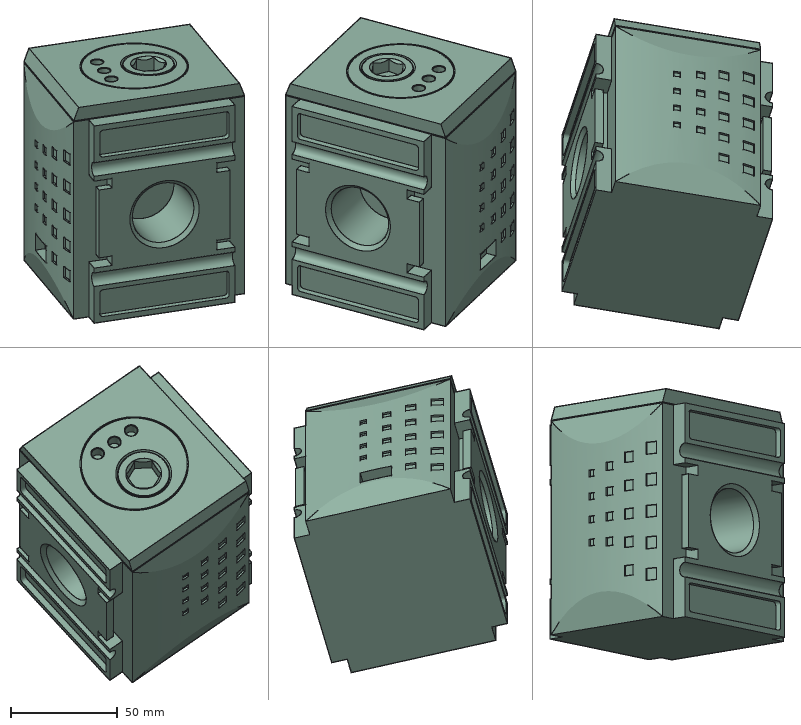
import cadquery as cq
import math

TOTAL_HEIGHT = 109.0
TOTAL_WIDTH = 85.0
BODY_WIDTH = 70.0
BODY_DEPTH = 85.0
BODY_HEIGHT = 101.9
MID_HEIGHT = BODY_HEIGHT / 2

BOW_RISE = 4.1
BOW_RADIUS = ((BODY_WIDTH / 2) ** 2 + BOW_RISE**2) / (2 * BOW_RISE)
BEVEL_ANGLE = 15.0

SEAM_HEIGHT = 0.4
SEAM_SETBACK = 0.2
CAP_TOP_DEPTH = 80.0

FLANGE_DEPTH = 70.0
FLANGE_THICKNESS = (TOTAL_WIDTH - BODY_WIDTH) / 2
TONGUE_THICKNESS = 4.0
TONGUE_DEPTH = 65.2
NECK_DEPTH = 52.1
NECK_HEIGHT = 44.9
TONGUE_HEIGHT = 35.1
GROOVE_RADIUS = 3.5
GROOVE_OFFSET = 28.5

PANEL_DEPTH = 64.3
PANEL_HEIGHT = 13.8
PANEL_OFFSET = 41.2
PANEL_CORNER = 1.7
PANEL_RECESS = 3.0

PORT_RADIUS = 15.3
PORT_MOUTH_RADIUS = 17.2
PORT_LENGTH = 30.0

RING_RADIUS = 25.4
RING_WIDTH = 0.5
RING_RECESS = 0.5
SCREW_Y = 7.1
SCREW_RADIUS = 12.0
SCREW_GROOVE_RADIUS = 13.1
SCREW_GROOVE_RECESS = 0.9
SCREW_GROOVE_FLOOR = 0.3
HEX_RADIUS = 8.2
HEX_MOUTH_RADIUS = 8.4
HEX_TURN = 23.0
HEX_RECESS = 7.0
GAUGE_HOLE_RADIUS = 2.8
GAUGE_HOLE_PITCH = 10.0
GAUGE_HOLE_Y = -14.9
GAUGE_HOLE_RECESS = 6.0
GAUGE_HOLE_CHAMFER = 0.3

DIMPLE_COLUMNS = [
    (-6.2, 3.2, 11.0, -1, 2),
    (5.2, 3.9, 12.0, -1, 2),
    (16.6, 4.9, 13.5, -2, 2),
    (29.0, 5.7, 15.0, -2, 2),
]
DIMPLE_RECESS = 1.0

WINDOW_WIDTH = 15.2
WINDOW_HEIGHT = 8.7
WINDOW_Z = 22.0
WINDOW_RECESS = 5.0
ARROW_LENGTH = 9.6
ARROW_HEAD_LENGTH = 5.0
ARROW_HEAD_HEIGHT = 5.7
ARROW_SHAFT_HEIGHT = 2.8
ARROW_RELIEF = 0.5


def block(width, depth, height, x=0.0, y=0.0, z=0.0):
    """Box centred on the given point."""
    return cq.Workplane("XY").box(width, depth, height).translate((x, y, z))


def on_both_sides(shape):
    """The shape together with its copy half a turn around Z."""
    return shape.union(shape.rotate((0, 0, 0), (0, 0, 1), 180))


def make_body():
    half_width = BODY_WIDTH / 2
    half_depth = BODY_DEPTH / 2
    crest = half_depth + BOW_RISE
    bevel_height = BOW_RISE / math.tan(math.radians(BEVEL_ANGLE))
    plan = (
        cq.Workplane("XY")
        .moveTo(-half_width, -half_depth)
        .threePointArc((0, -crest), (half_width, -half_depth))
        .lineTo(half_width, half_depth)
        .threePointArc((0, crest), (-half_width, half_depth))
        .close()
        .extrude(BODY_HEIGHT)
    )
    side_profile = (
        cq.Workplane("YZ")
        .polyline(
            [
                (-half_depth, 0),
                (half_depth, 0),
                (crest, bevel_height),
                (crest, BODY_HEIGHT - bevel_height),
                (half_depth, BODY_HEIGHT),
                (-half_depth, BODY_HEIGHT),
                (-crest, BODY_HEIGHT - bevel_height),
                (-crest, bevel_height),
            ]
        )
        .close()
        .extrude(half_width, both=True)
    )
    return plan.intersect(side_profile)


def make_cap():
    base_z = BODY_HEIGHT + SEAM_HEIGHT
    seam = block(
        BODY_WIDTH - 2 * SEAM_SETBACK,
        BODY_DEPTH - 2 * SEAM_SETBACK,
        SEAM_HEIGHT,
        z=BODY_HEIGHT + SEAM_HEIGHT / 2,
    )
    cap = (
        cq.Workplane("YZ")
        .polyline(
            [
                (-BODY_DEPTH / 2, base_z),
                (BODY_DEPTH / 2, base_z),
                (CAP_TOP_DEPTH / 2, TOTAL_HEIGHT),
                (-CAP_TOP_DEPTH / 2, TOTAL_HEIGHT),
            ]
        )
        .close()
        .extrude(BODY_WIDTH / 2, both=True)
    )
    return seam.union(cap)


def make_flange():
    """Flange on the -X side with its waist, grooves and pockets."""
    outer_x = -TOTAL_WIDTH / 2
    flange_x = outer_x + FLANGE_THICKNESS / 2
    tongue_x = outer_x + TONGUE_THICKNESS / 2
    plate = block(FLANGE_THICKNESS, FLANGE_DEPTH, BODY_HEIGHT, x=flange_x, z=MID_HEIGHT)
    waist = block(FLANGE_THICKNESS, FLANGE_DEPTH, NECK_HEIGHT, x=flange_x, z=MID_HEIGHT)
    neck = block(FLANGE_THICKNESS, NECK_DEPTH, NECK_HEIGHT, x=flange_x, z=MID_HEIGHT)
    tongue = block(TONGUE_THICKNESS, TONGUE_DEPTH, TONGUE_HEIGHT, x=tongue_x, z=MID_HEIGHT)
    flange = plate.cut(waist).union(neck).union(tongue)
    for side in (-1, 1):
        groove = (
            cq.Workplane("XZ")
            .center(outer_x, MID_HEIGHT + side * GROOVE_OFFSET)
            .circle(GROOVE_RADIUS)
            .extrude(FLANGE_DEPTH / 2, both=True)
        )
        panel = block(
            2 * PANEL_RECESS, PANEL_DEPTH, PANEL_HEIGHT, x=outer_x, z=MID_HEIGHT + side * PANEL_OFFSET
        )
        flange = flange.cut(groove).cut(panel.edges("|X").fillet(PANEL_CORNER))
    return flange


def make_port():
    """Blind port entering from the -X side, with a 45 degree mouth."""
    mouth_length = PORT_MOUTH_RADIUS - PORT_RADIUS
    return (
        cq.Workplane("XY")
        .polyline(
            [
                (0, 0),
                (0, PORT_MOUTH_RADIUS),
                (mouth_length, PORT_RADIUS),
                (PORT_LENGTH, PORT_RADIUS),
                (PORT_LENGTH, 0),
            ]
        )
        .close()
        .revolve(360, (0, 0, 0), (1, 0, 0))
        .translate((-TOTAL_WIDTH / 2, 0, MID_HEIGHT))
    )


def tapered_mouth(top_radius, bottom_radius, depth, x, y):
    """Conical cutter reaching down from the top face."""
    top_centre = cq.Vector(x, y, TOTAL_HEIGHT)
    return cq.Workplane(cq.Solid.makeCone(top_radius, bottom_radius, depth, top_centre, cq.Vector(0, 0, -1)))


def round_hole(radius, depth, x, y):
    """Straight round cutter reaching down from the top face."""
    return cq.Workplane("XY", origin=(x, y, TOTAL_HEIGHT)).circle(radius).extrude(-depth)


def make_ring_groove():
    inner_radius = RING_RADIUS - RING_WIDTH
    return round_hole(RING_RADIUS, RING_RECESS, 0, 0).cut(round_hole(inner_radius, RING_RECESS, 0, 0))


def make_screw_cuts():
    """Groove around the flush screw head and its hexagon socket."""
    floor_radius = SCREW_RADIUS + SCREW_GROOVE_FLOOR
    groove = tapered_mouth(SCREW_GROOVE_RADIUS, floor_radius, SCREW_GROOVE_RECESS, 0, SCREW_Y)
    groove = groove.cut(round_hole(SCREW_RADIUS, SCREW_GROOVE_RECESS, 0, SCREW_Y))
    socket = (
        cq.Workplane("XY")
        .polygon(6, 2 * HEX_RADIUS)
        .extrude(-HEX_RECESS)
        .rotate((0, 0, 0), (0, 0, 1), HEX_TURN)
        .translate((0, SCREW_Y, TOTAL_HEIGHT))
    )
    flat_radius = HEX_RADIUS * math.cos(math.pi / 6)
    mouth = tapered_mouth(HEX_MOUTH_RADIUS, flat_radius, HEX_MOUTH_RADIUS - flat_radius, 0, SCREW_Y)
    return groove.union(socket).union(mouth)


def make_gauge_hole(x):
    mouth_radius = GAUGE_HOLE_RADIUS + GAUGE_HOLE_CHAMFER
    hole = round_hole(GAUGE_HOLE_RADIUS, GAUGE_HOLE_RECESS, x, GAUGE_HOLE_Y)
    return hole.union(tapered_mouth(mouth_radius, GAUGE_HOLE_RADIUS, GAUGE_HOLE_CHAMFER, x, GAUGE_HOLE_Y))


def bow_y(x):
    """Y of the bowed front face at the given x."""
    return BOW_RADIUS - BODY_DEPTH / 2 - BOW_RISE - math.sqrt(BOW_RADIUS**2 - x**2)


def make_dimples():
    dimples = cq.Workplane("XY")
    for x, side, pitch, first, last in DIMPLE_COLUMNS:
        for step in range(first, last + 1):
            z = MID_HEIGHT + step * pitch
            dimple = block(side, 2 * DIMPLE_RECESS, side)
            tilt = math.degrees(math.asin(x / BOW_RADIUS))
            dimples = dimples.add(
                dimple.rotate((0, 0, 0), (0, 0, 1), tilt).translate((x, bow_y(x), z))
            )
    return dimples.combine()


def make_window():
    """Window cutter that leaves a raised arrow pointing to -X on its floor."""
    floor_y = -BODY_DEPTH / 2 - BOW_RISE + WINDOW_RECESS
    window = block(WINDOW_WIDTH, 2 * WINDOW_RECESS, WINDOW_HEIGHT, y=floor_y - WINDOW_RECESS, z=WINDOW_Z)
    tip_x = -ARROW_LENGTH / 2
    head_x = tip_x + ARROW_HEAD_LENGTH
    arrow = (
        cq.Workplane("XZ", origin=(0, floor_y, WINDOW_Z))
        .polyline(
            [
                (tip_x, 0),
                (head_x, ARROW_HEAD_HEIGHT / 2),
                (head_x, ARROW_SHAFT_HEIGHT / 2),
                (-tip_x, ARROW_SHAFT_HEIGHT / 2),
                (-tip_x, -ARROW_SHAFT_HEIGHT / 2),
                (head_x, -ARROW_SHAFT_HEIGHT / 2),
                (head_x, -ARROW_HEAD_HEIGHT / 2),
            ]
        )
        .close()
        .extrude(ARROW_RELIEF)
    )
    return window.cut(arrow)


result = (
    make_body()
    .union(make_cap())
    .union(on_both_sides(make_flange()))
    .cut(on_both_sides(make_port()))
    .cut(make_ring_groove())
    .cut(make_screw_cuts())
    .cut(on_both_sides(make_dimples()))
    .cut(make_window())
)
for column in (-1, 0, 1):
    result = result.cut(make_gauge_hole(column * GAUGE_HOLE_PITCH))